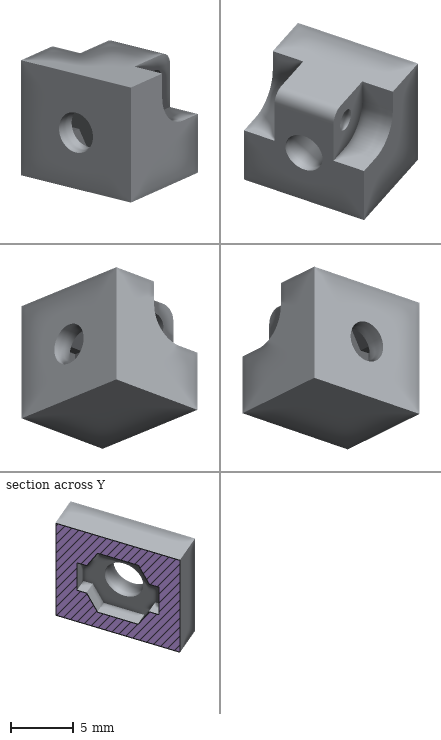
import cadquery as cq
import math

width = 11.0
depth = 9.0
height = 9.8

lug_width = 5.41
pin_diameter = 1.8
pin_inset = 2.0
lug_round = 1.1
relief_reach = 4.8
relief_radius = relief_reach - pin_inset

bore_diameter = 3.4
bore_height = 4.8
seat_depth = 1.69
nut_flats = 6.2
pocket_length = 2.42
ledge_drop = 1.43

pin_y = depth - pin_inset
pin_z = height - pin_inset


def make_nut_pocket():
    """Hexagonal cavity along Y, flats top and bottom, with its side corners squared to ledges."""
    corner_width = nut_flats / math.cos(math.pi / 6)
    seat = cq.Workplane("XZ", origin=(width / 2, seat_depth, bore_height))
    hexagon = seat.polygon(6, corner_width).extrude(-pocket_length)
    side_ledges = seat.rect(corner_width, 2 * ledge_drop).extrude(-pocket_length)
    return hexagon.union(side_ledges)


def make_relief(start_x, length):
    """Rear corner clearance beside the lug, rounded about the pin axis."""
    block = cq.Workplane("XY").box(length, relief_reach, relief_reach, centered=False)
    block = block.edges("|X and <Y and <Z").fillet(relief_radius)
    return block.translate((start_x, depth - relief_reach, height - relief_reach))


def make_housing():
    body = cq.Workplane("XY").box(width, depth, height, centered=False)
    body = body.edges("|X and >Y and >Z").fillet(lug_round)
    side_width = (width - lug_width) / 2
    for start_x in (0, width - side_width):
        body = body.cut(make_relief(start_x, side_width))
    pin_hole = cq.Workplane("YZ").center(pin_y, pin_z).circle(pin_diameter / 2).extrude(width)
    bore = (
        cq.Workplane("XZ")
        .center(width / 2, bore_height)
        .circle(bore_diameter / 2)
        .extrude(-depth)
    )
    return body.cut(pin_hole).cut(bore).cut(make_nut_pocket())


housing = make_housing()
result = cq.Compound.makeCompound([housing.val()])